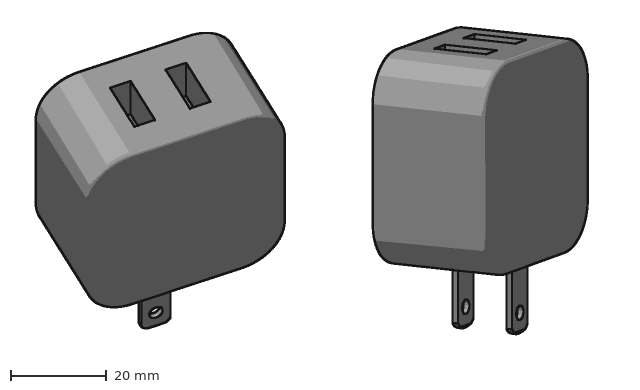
import cadquery as cq
import math

side = 45.5
thickness = 28.0
overall_height = 61.75
corner_radius = 10.05
face_slope_width = 6.05
face_slope_angle = 5.0
edge_round = 1.0

port_length = 12.3
port_width = 4.7
port_spacing = 12.7
port_depth = 10.0

blade_thickness = 1.4
blade_width = 6.65
blade_spacing = 12.85
blade_y = -4.2
blade_length = overall_height - side
blade_hole_diameter = 3.0
blade_hole_from_tip = 4.6
tip_arc_height = 1.6
tip_bevel_height = 0.7
tip_bevel_depth = 0.5
blade_root = 0.6


def make_housing():
    slope_drop = face_slope_width * math.tan(math.radians(face_slope_angle))
    straight_thickness = thickness - 2 * slope_drop
    housing = (
        cq.Workplane("YZ")
        .rect(side, side)
        .extrude(straight_thickness / 2, both=True)
        .edges("|X")
        .fillet(corner_radius)
    )
    flat_side = side - 2 * face_slope_width
    for direction in (-1, 1):
        flat_outline = cq.Sketch().rect(flat_side, flat_side).vertices()
        flat_outline = flat_outline.fillet(corner_radius - face_slope_width)
        plane = cq.Plane(
            origin=(direction * thickness / 2, 0, 0),
            xDir=(0, 1, 0),
            normal=(-direction, 0, 0),
        )
        raised_face = (
            cq.Workplane(plane)
            .placeSketch(flat_outline)
            .extrude(slope_drop, taper=face_slope_angle - 90)
        )
        housing = housing.union(raised_face)
    edge_x = straight_thickness / 2
    margin = 0.05
    for direction in (-1, 1):
        rim = cq.selectors.BoxSelector(
            (direction * edge_x - margin, -side, -side),
            (direction * edge_x + margin, side, side),
        )
        housing = housing.edges(rim).fillet(edge_round)
    return housing


def cut_ports(housing):
    ports = (
        cq.Workplane("XY")
        .workplane(offset=side / 2 - port_depth)
        .rarray(0.6, port_spacing, 1, 2)
        .rect(port_length, port_width)
        .extrude(port_depth)
    )
    return housing.cut(ports)


def make_blade(x):
    root_z = -side / 2 + blade_root
    tip_z = -side / 2 - blade_length
    shoulder_z = tip_z + tip_arc_height
    left = blade_y - blade_width / 2
    right = blade_y + blade_width / 2
    half = blade_thickness / 2
    blade = (
        cq.Workplane("YZ", origin=(x - half, 0, 0))
        .moveTo(left, root_z)
        .lineTo(left, shoulder_z)
        .threePointArc((blade_y, tip_z), (right, shoulder_z))
        .lineTo(right, root_z)
        .close()
        .extrude(blade_thickness)
    )
    hole = (
        cq.Workplane("YZ", origin=(x - half, 0, 0))
        .center(blade_y, tip_z + blade_hole_from_tip)
        .circle(blade_hole_diameter / 2)
        .extrude(blade_thickness)
    )
    bevel_limit = (
        cq.Workplane("XZ", origin=(x, blade_y, 0))
        .moveTo(-half, root_z)
        .lineTo(-half, tip_z + tip_bevel_height)
        .lineTo(-half + tip_bevel_depth, tip_z)
        .lineTo(half - tip_bevel_depth, tip_z)
        .lineTo(half, tip_z + tip_bevel_height)
        .lineTo(half, root_z)
        .close()
        .extrude(blade_width, both=True)
    )
    return blade.cut(hole).intersect(bevel_limit)


result = cut_ports(make_housing())
for blade_x in (-blade_spacing / 2, blade_spacing / 2):
    result = result.union(make_blade(blade_x))
result = result.translate((0, 0, blade_length / 2))